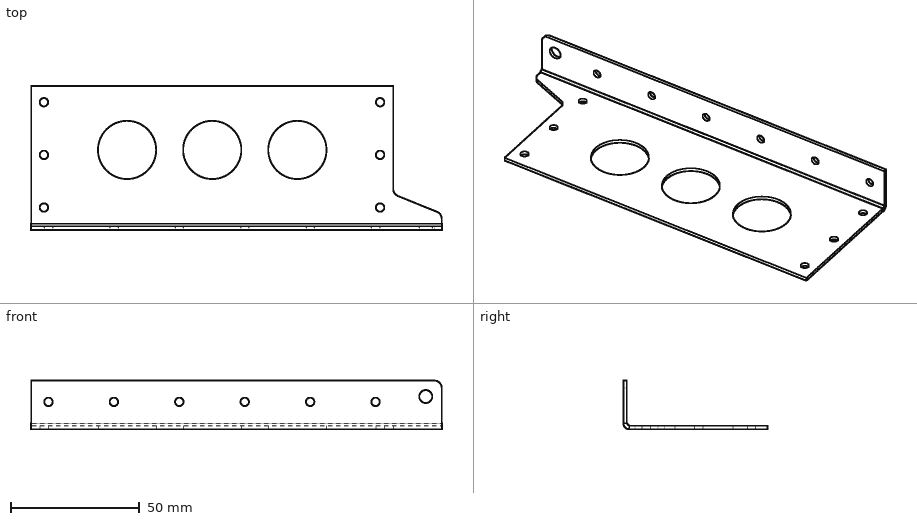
import cadquery as cq

length = 160.1
depth = 56.2
height = 19.0
thickness = 1.5
bend_thickness = 1.6
inner_bend_radius = 0.8
outer_bend_radius = inner_bend_radius + bend_thickness
bend_overhang = 0.2
leg_start_x = bend_overhang
leg_end_x = length - bend_overhang

plate_length = 141.0
taper_start_y = 14.1
taper_end_y = 6.4
inside_corner_radius = 2.9
outside_corner_radius = 2.9

small_hole_diameter = 3.2
mount_columns = (5.1, 136.0)
mount_middle_y = 29.3
mount_pitch = 20.5
window_diameter = 22.5
window_middle_x = 70.6
window_pitch = 33.1
window_y = 31.2

flange_hole_count = 6
flange_hole_start_x = 6.9
flange_hole_pitch = 25.5
flange_hole_z = 10.7
end_hole_diameter = 5.0
end_hole_x = 153.7
end_hole_z = 12.8


def flat_sheet():
    """Plate and upright flange, both stopping where the bend begins."""
    plate = cq.Workplane("XY").box(
        length, depth - outer_bend_radius, thickness, centered=False
    ).translate((0, outer_bend_radius, 0))
    flange = cq.Workplane("XY").box(
        length, thickness, height - outer_bend_radius, centered=False
    ).translate((0, 0, outer_bend_radius))
    return plate.add(flange).combine()


def bend():
    """Quarter-round strip joining the two legs, slightly heavier and longer than both."""
    return (
        cq.Workplane("YZ")
        .moveTo(outer_bend_radius, 0)
        .lineTo(outer_bend_radius, bend_thickness)
        .radiusArc((bend_thickness, outer_bend_radius), inner_bend_radius)
        .lineTo(0, outer_bend_radius)
        .radiusArc((outer_bend_radius, 0), -outer_bend_radius)
        .close()
        .extrude(length)
    )


def plan_outline():
    """Plate silhouette with its tapered tongue, tall enough to trim the legs."""
    outline = (
        cq.Workplane("XY")
        .polyline([
            (leg_start_x, 0),
            (leg_end_x, 0),
            (leg_end_x, taper_end_y),
            (plate_length, taper_start_y),
            (plate_length, depth),
            (leg_start_x, depth),
        ])
        .close()
        .extrude(height)
    )
    outline = outline.edges(
        cq.selectors.NearestToPointSelector((plate_length, taper_start_y, height / 2))
    ).fillet(inside_corner_radius)
    return outline.edges(
        cq.selectors.NearestToPointSelector((leg_end_x, taper_end_y, height / 2))
    ).fillet(outside_corner_radius)


def plate_holes(points, diameter):
    return cq.Workplane("XY").pushPoints(points).circle(diameter / 2).extrude(thickness)


def flange_holes(points, diameter):
    return cq.Workplane("XZ").pushPoints(points).circle(diameter / 2).extrude(-thickness)


mount_points = [
    (x, mount_middle_y + row * mount_pitch)
    for x in mount_columns
    for row in (-1, 0, 1)
]
window_points = [
    (window_middle_x + column * window_pitch, window_y)
    for column in (-1, 0, 1)
]
flange_points = [
    (flange_hole_start_x + index * flange_hole_pitch, flange_hole_z)
    for index in range(flange_hole_count)
]

legs = flat_sheet().intersect(plan_outline())

legs = legs.edges("|Y and >X and >Z").fillet(outside_corner_radius)

bracket = legs.union(bend())

result = (
    bracket
    .cut(plate_holes(mount_points, small_hole_diameter))
    .cut(plate_holes(window_points, window_diameter))
    .cut(flange_holes(flange_points, small_hole_diameter))
    .cut(flange_holes([(end_hole_x, end_hole_z)], end_hole_diameter))
)